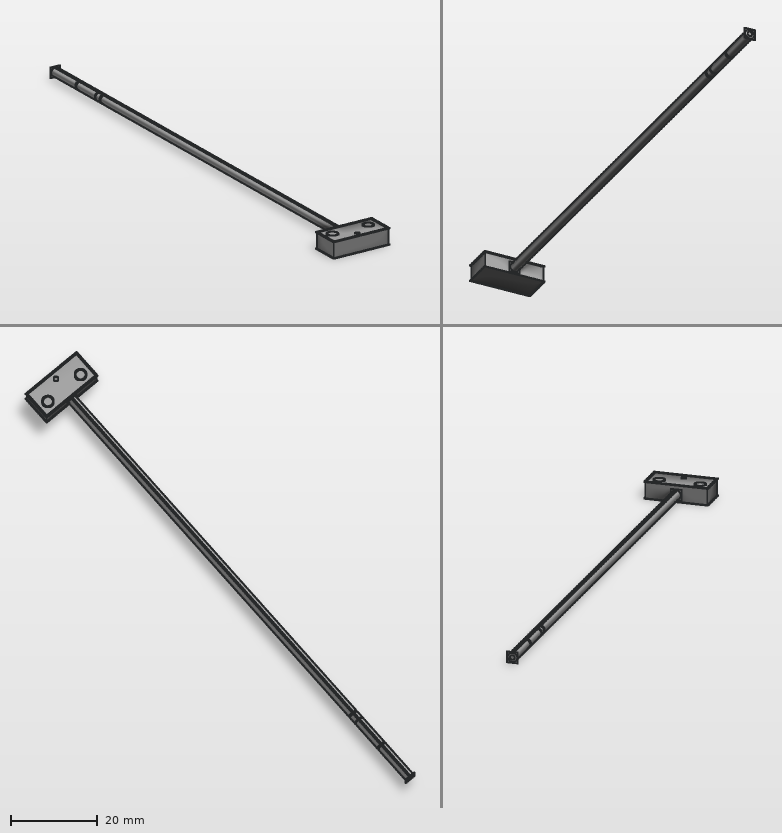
import cadquery as cq

total_length = 127.5
block_length = 7.5
block_width = 15.5
block_height = 4.2

lip_overhang = 0.19
lip_thickness = 0.1
rim_width = 0.4
rim_height = 0.1
tube_length = total_length - block_length + lip_overhang

hole_spacing = 10.0
hole_inset = 2.8
hole_groove_outer_diameter = 2.8
hole_groove_inner_diameter = 2.3
hole_groove_depth = 0.4
pilot_hole_diameter = 1.1
pilot_hole_depth = 0.6
pilot_hole_inset = 1.8

tube_diameter = 2.3
tube_axis_height = 1.8
bore_diameter = 1.1
end_plate_side = 2.7
end_plate_thickness = 0.1

mark_depth = 0.1
wide_mark_width = 0.4
narrow_mark_width = 0.19
wide_mark_positions = [10.2, 20.3]
narrow_mark_position = 18.2
top_slot_width = 0.4


def make_disc(diameter, start, length):
    """Round bar along the tube axis, starting at X = start."""
    plane = cq.Workplane("YZ", origin=(start, 0, tube_axis_height))
    return plane.circle(diameter / 2).extrude(length)


def make_ring_mark(position, width):
    """Ring that cuts a shallow groove around the tube, centred at X = position."""
    start = position - width / 2
    outside = make_disc(tube_diameter + 2 * mark_depth, start, width)
    return outside.cut(make_disc(tube_diameter - 2 * mark_depth, start, width))


def make_end_plate(start):
    """Thin square plate across the tube axis."""
    plane = cq.Workplane("YZ", origin=(start, 0, tube_axis_height))
    return plane.rect(end_plate_side, end_plate_side).extrude(end_plate_thickness)


def make_tube():
    """Tube with ring marks, a slot along its top and a square plate at each end."""
    tube = make_disc(tube_diameter, 0, tube_length)
    for position in wide_mark_positions:
        tube = tube.cut(make_ring_mark(position, wide_mark_width))
    tube = tube.cut(make_ring_mark(narrow_mark_position, narrow_mark_width))
    slot_floor = tube_axis_height + tube_diameter / 2 - mark_depth
    slot = cq.Workplane("XY").box(
        tube_length, top_slot_width, tube_diameter, centered=(False, True, False)
    )
    tube = tube.cut(slot.translate((0, 0, slot_floor)))
    for start in (0, tube_length - end_plate_thickness):
        tube = tube.union(make_end_plate(start))
    return tube.cut(make_disc(bore_diameter, 0, tube_length))


def make_core():
    """Round core that fills the bore of the tube."""
    return make_disc(bore_diameter, 0, tube_length)


def make_block_slab(inset, bottom, height):
    """Rectangular slab with the block's outline moved inward by inset."""
    center_x = total_length - block_length / 2
    plane = cq.Workplane("XY", origin=(center_x, 0, bottom))
    return plane.rect(block_length - 2 * inset, block_width - 2 * inset).extrude(height)


def make_block():
    """Mounting block with lips, a top rim, two ring grooves and a blind pilot hole."""
    block = make_block_slab(lip_overhang, 0, block_height)
    for bottom in (0, block_height - lip_thickness):
        block = block.union(make_block_slab(0, bottom, lip_thickness))

    top_face = block_height - rim_height
    block = block.cut(make_block_slab(rim_width, top_face, rim_height))

    grooves = (
        cq.Workplane("XY", origin=(total_length - block_length + hole_inset, 0, top_face))
        .rarray(1.3, hole_spacing, 1, 2)
        .circle(hole_groove_outer_diameter / 2)
        .circle(hole_groove_inner_diameter / 2)
        .extrude(-hole_groove_depth)
    )
    pilot_hole = (
        cq.Workplane("XY", origin=(total_length - pilot_hole_inset, 0, top_face))
        .circle(pilot_hole_diameter / 2)
        .extrude(-pilot_hole_depth)
    )
    return block.cut(grooves).cut(pilot_hole)


block = make_block()
tube = make_tube()
core = make_core()

result = cq.Compound.makeCompound([block.val(), tube.val(), core.val()])